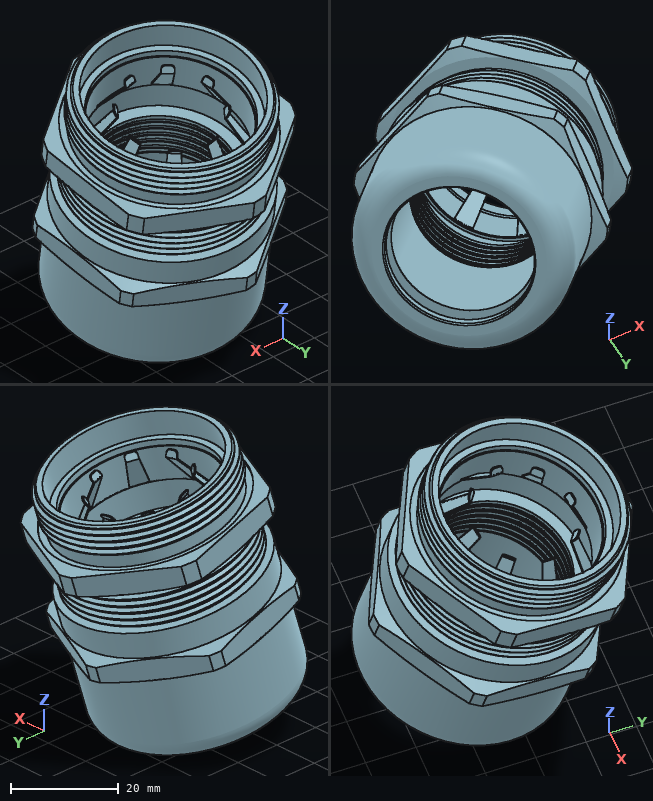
import cadquery as cq
import math


AXIS = cq.Vector(0.0974, 0.2457, 1)
HEX_CORNER_AZIMUTH = 36.5

HEX_FLATS = 43.0
HEX_HEIGHT = 5.05
HEX_CHAMFER_ANGLE = 15
CLEAR_D = 60.65

THREAD_D = 39.75
THREAD_ROOT_D = 38.2
THREAD_PITCH = 1.5
THREAD_CREST = 0.2
THREAD_FOOT = 1.35

NUT_D = 42.4
NUT_TOP = 30.2
NUT_ROUND = 4.55
NUT_HEX_BOTTOM = 19.5
NUT_HEX_CORNER_D = 48.3
NUT_HOLE_D = 28.4
NUT_HOLE_TOP = 1.8
NUT_MOUTH_CHAMFER = 0.3

SEAL_D = 33.5
SEAL_BOTTOM = 4.9
SEAL_TOP = 32.15
SEAL_HOLE_D = 27.7
RIBBED_BOTTOM = 22.45
RIB_D = 28.25
GROOVE_COUNT = 5
GROOVE_PITCH = 1.75
GROOVE_WIDTH = 0.85
GROOVE_DEPTH = 0.25

BODY_BOTTOM = 12.15
BODY_TOP = 53.25
BODY_TIP_D = 37.5
BODY_TIP_CHAMFER = 0.9
BODY_HEX_BOTTOM = 39.25
BODY_HEX_TOP = BODY_HEX_BOTTOM + HEX_HEIGHT
BODY_HEX_CORNER_D = 48.0
HEX_FACE_D = 42.9
ENTRY_D = 35.0
ENTRY_FLOOR = 47.8
LOWER_RIDGE_COUNT = 5
LOWER_THREAD_BOTTOM = NUT_TOP
UPPER_RIDGE_COUNT = 4
UPPER_THREAD_BOTTOM = 46.6

O_RING_WIRE_D = 1.5
O_RING_D = THREAD_ROOT_D + 2 * O_RING_WIRE_D

SLEEVE_D = 32.2
SLEEVE_HOLE_D = 31.65
SLEEVE_BOTTOM = 38.8
SLEEVE_TOP = 46.4
FINGER_COUNT = 8
FINGER_AZIMUTH = 18.5
FINGER_ROOT_WIDTH = 4.0
FINGER_TIP_WIDTH = 2.55
FINGER_BEND_R = 9.95
FINGER_BEND_Z = 48.1
FINGER_TAB_LEAN = 0.7
FINGER_TAB_HEIGHT = 1.4
FINGER_TAB_ROUND = 0.7


def disc(diameter, bottom, top):
    return cq.Workplane("XY").workplane(offset=bottom).circle(diameter / 2).extrude(top - bottom)


def tube(outer_d, inner_d, bottom, top):
    return disc(outer_d, bottom, top).cut(disc(inner_d, bottom, top))


def cone(bottom_d, top_d, bottom, top):
    base = cq.Workplane("XY").workplane(offset=bottom).circle(bottom_d / 2)
    return base.workplane(offset=top - bottom).circle(top_d / 2).loft(ruled=True)


def hexagon(bottom, corner_d, face_d, chamfer_top):
    """Hexagonal collar with turned corners and a conical chamfer below, or below and above."""
    top = bottom + HEX_HEIGHT
    slope = math.tan(math.radians(HEX_CHAMFER_ANGLE))
    chamfer_rise = (CLEAR_D - face_d) / 2 * slope
    across_corners = HEX_FLATS / math.cos(math.pi / 6)
    collar = cq.Workplane("XY").workplane(offset=bottom).polygon(6, across_corners).extrude(HEX_HEIGHT)
    collar = collar.intersect(disc(corner_d, bottom, top))
    lower_limit = cone(face_d, CLEAR_D, bottom, bottom + chamfer_rise)
    lower_limit = lower_limit.union(disc(CLEAR_D, bottom + chamfer_rise, top))
    collar = collar.intersect(lower_limit)
    if chamfer_top:
        upper_limit = cone(CLEAR_D, face_d, top - chamfer_rise, top)
        upper_limit = upper_limit.union(disc(CLEAR_D, bottom, top - chamfer_rise))
        collar = collar.intersect(upper_limit)
    return collar


def ridge_points(thread_bottom, count):
    """Points up the side of a thread: each ridge rises from the root to a narrow crest and back."""
    root_r = THREAD_ROOT_D / 2
    crest_r = THREAD_D / 2
    points = []
    for i in range(count):
        middle = thread_bottom + (i + 0.5) * THREAD_PITCH
        points += [
            (root_r, middle - THREAD_FOOT / 2),
            (crest_r, middle - THREAD_CREST / 2),
            (crest_r, middle + THREAD_CREST / 2),
            (root_r, middle + THREAD_FOOT / 2),
        ]
    return points


def make_nut():
    nut = disc(NUT_D, 0, NUT_TOP).faces("<Z").edges().fillet(NUT_ROUND)
    nut = nut.union(hexagon(NUT_HEX_BOTTOM, NUT_HEX_CORNER_D, NUT_D, chamfer_top=True))
    mouth_d = NUT_HOLE_D + 2 * NUT_MOUTH_CHAMFER
    nut = nut.cut(cone(mouth_d, NUT_HOLE_D, 0, NUT_MOUTH_CHAMFER))
    nut = nut.cut(disc(NUT_HOLE_D, 0, NUT_HOLE_TOP))
    nut = nut.cut(cone(NUT_HOLE_D, SEAL_D, NUT_HOLE_TOP, SEAL_BOTTOM))
    nut = nut.cut(disc(SEAL_D, SEAL_BOTTOM, BODY_BOTTOM))
    return nut.cut(disc(THREAD_ROOT_D, BODY_BOTTOM, NUT_TOP))


def make_seal():
    seal = tube(SEAL_D, SEAL_HOLE_D, SEAL_BOTTOM, SEAL_TOP)
    seal = seal.cut(disc(RIB_D, RIBBED_BOTTOM, SEAL_TOP))
    for i in range(GROOVE_COUNT):
        groove_bottom = RIBBED_BOTTOM + (i + 0.5) * GROOVE_PITCH
        seal = seal.cut(disc(RIB_D + 2 * GROOVE_DEPTH, groove_bottom, groove_bottom + GROOVE_WIDTH))
    return seal


def make_threaded_shank():
    """Turned shank with one thread above the nut and one up to the chamfered tip."""
    root_r = THREAD_ROOT_D / 2
    outline = [(0, BODY_BOTTOM), (root_r, BODY_BOTTOM)]
    outline += ridge_points(LOWER_THREAD_BOTTOM, LOWER_RIDGE_COUNT)
    outline += ridge_points(UPPER_THREAD_BOTTOM, UPPER_RIDGE_COUNT)
    outline += [(root_r, BODY_TOP - BODY_TIP_CHAMFER / 2), (BODY_TIP_D / 2, BODY_TOP), (0, BODY_TOP)]
    return cq.Workplane("XZ").polyline(outline).close().revolve(360, (0, 0, 0), (0, 1, 0))


def make_body():
    body = make_threaded_shank()
    body = body.union(hexagon(BODY_HEX_BOTTOM, BODY_HEX_CORNER_D, HEX_FACE_D, chamfer_top=False))
    body = body.cut(tube(O_RING_D, THREAD_ROOT_D, BODY_HEX_TOP - O_RING_WIRE_D, BODY_HEX_TOP))
    body = body.cut(disc(ENTRY_D, ENTRY_FLOOR, BODY_TOP))
    body = body.cut(disc(SLEEVE_D, SLEEVE_BOTTOM, ENTRY_FLOOR))
    return body.cut(disc(SEAL_D, BODY_BOTTOM, SLEEVE_BOTTOM))


def make_o_ring():
    wire_r = O_RING_WIRE_D / 2
    ring_r = O_RING_D / 2 - wire_r
    ring = cq.Solid.makeTorus(ring_r, wire_r, cq.Vector(0, 0, BODY_HEX_TOP - wire_r))
    return cq.Workplane("XY").add(ring)


def make_finger():
    """Sheet finger rising inwards from the sleeve's lower edge, its rounded tab bent back outwards."""
    sheet = (SLEEVE_D - SLEEVE_HOLE_D) / 2
    root_r = SLEEVE_HOLE_D / 2
    outer_r = SLEEVE_D / 2
    tab_r = FINGER_BEND_R + FINGER_TAB_LEAN
    tab_top = FINGER_BEND_Z + FINGER_TAB_HEIGHT
    side = (
        cq.Workplane("XZ")
        .polyline([
            (root_r, SLEEVE_BOTTOM),
            (FINGER_BEND_R, FINGER_BEND_Z),
            (tab_r, tab_top),
            (tab_r + sheet, tab_top),
            (FINGER_BEND_R + sheet, FINGER_BEND_Z),
            (root_r + sheet, SLEEVE_BOTTOM),
        ])
        .close()
        .extrude(FINGER_ROOT_WIDTH, both=True)
    )
    plan = (
        cq.Workplane("XY")
        .workplane(offset=SLEEVE_BOTTOM)
        .polyline([
            (FINGER_BEND_R, -FINGER_TIP_WIDTH / 2),
            (outer_r, -FINGER_ROOT_WIDTH / 2),
            (outer_r, FINGER_ROOT_WIDTH / 2),
            (FINGER_BEND_R, FINGER_TIP_WIDTH / 2),
        ])
        .close()
        .extrude(tab_top - SLEEVE_BOTTOM)
    )
    tab = (
        cq.Workplane("XY")
        .box(2 * tab_r, FINGER_TIP_WIDTH, FINGER_TAB_HEIGHT, centered=(False, True, False))
        .edges("|X and >Z")
        .fillet(FINGER_TAB_ROUND)
        .translate((0, 0, FINGER_BEND_Z))
    )
    outline = disc(SLEEVE_D, SLEEVE_BOTTOM, FINGER_BEND_Z).union(tab)
    return side.intersect(plan).intersect(outline)


def make_contact_ring():
    ring = tube(SLEEVE_D, SLEEVE_HOLE_D, SLEEVE_BOTTOM, SLEEVE_TOP)
    finger = make_finger()
    for i in range(FINGER_COUNT):
        azimuth = FINGER_AZIMUTH + i * 360 / FINGER_COUNT
        ring = ring.union(finger.rotate((0, 0, 0), (0, 0, 1), azimuth))
    return ring


def gland_location():
    """Upright to leaning: Z becomes the gland axis and X points at a hexagon corner."""
    azimuth = math.radians(HEX_CORNER_AZIMUTH)
    heading = cq.Vector(math.cos(azimuth), math.sin(azimuth), 0)
    axis = AXIS.normalized()
    corner_direction = heading - axis * heading.dot(axis)
    return cq.Location(cq.Plane(origin=(0, 0, 0), xDir=corner_direction, normal=axis))


def place(body):
    return body.solids().val().moved(gland_location())


nut = make_nut()
seal = make_seal()
gland_body = make_body()
o_ring = make_o_ring()
contact_ring = make_contact_ring()

result = cq.Compound.makeCompound([
    place(nut),
    place(seal),
    place(gland_body),
    place(o_ring),
    place(contact_ring),
])